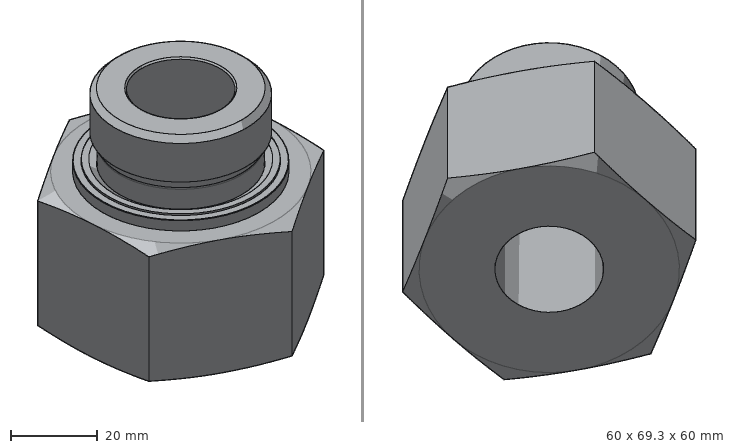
import cadquery as cq
import math

HEX_CORNERS = 69.3
HEX_FLATS = HEX_CORNERS * math.cos(math.radians(30))
HEX_HEIGHT = 36.9
HEX_CHAMFER_ANGLE = 15.0

FLANGE_DIAMETER = 49.9
FLANGE_HEIGHT = 3.0
FLANGE_TOP = HEX_HEIGHT + FLANGE_HEIGHT
FLANGE_CHAMFER = 0.15

TOTAL_HEIGHT = 60.0
SPIGOT_DIAMETER = 41.9
SPIGOT_BOTTOM = 47.8
SPIGOT_CHAMFER = 1.5
NECK_DIAMETER = 38.6
NECK_TOP = 44.7
TAPER_END_DIAMETER = 38.8
TAPER_BOTTOM = 45.25

BORE_DIAMETER = 25.0
BORE_CHAMFER = 0.4

GROOVE_DIAMETER = 46.0
GROOVE_DEPTH = 2.1
GROOVE_FLOOR = FLANGE_TOP - GROOVE_DEPTH
RING_OUTER_DIAMETER = 45.8
RING_INNER_DIAMETER = 38.8
RING_MOUTH_DIAMETER = 42.4
RING_PROTRUSION = 0.4
RING_TOP = FLANGE_TOP + RING_PROTRUSION
RING_MOUTH_DEPTH = 1.05


def revolve_profile(points):
    """Revolve a closed (radius, height) outline about the Z axis."""
    return cq.Workplane("XZ").polyline(points).close().revolve(360, (0, 0, 0), (0, 1, 0))


def make_hexagon():
    """Hexagonal prism with corners on the Y axis, its corners chamfered at both ends."""
    prism = (
        cq.Workplane("XY")
        .polygon(6, HEX_CORNERS)
        .extrude(HEX_HEIGHT)
        .rotate((0, 0, 0), (0, 0, 1), 90)
    )
    flat_radius = HEX_FLATS / 2
    cone_radius = HEX_CORNERS / 2 + 0.7
    cone_drop = (cone_radius - flat_radius) * math.tan(math.radians(HEX_CHAMFER_ANGLE))
    envelope = revolve_profile([
        (0, 0),
        (flat_radius, 0),
        (cone_radius, cone_drop),
        (cone_radius, HEX_HEIGHT - cone_drop),
        (flat_radius, HEX_HEIGHT),
        (0, HEX_HEIGHT),
    ])
    return prism.intersect(envelope)


def make_spigot():
    """Flange with the ring groove, undercut neck and chamfered spigot."""
    flange_radius = FLANGE_DIAMETER / 2
    groove_radius = GROOVE_DIAMETER / 2
    neck_radius = NECK_DIAMETER / 2
    spigot_radius = SPIGOT_DIAMETER / 2
    return revolve_profile([
        (0, HEX_HEIGHT),
        (flange_radius, HEX_HEIGHT),
        (flange_radius, FLANGE_TOP - FLANGE_CHAMFER),
        (flange_radius - FLANGE_CHAMFER, FLANGE_TOP),
        (groove_radius, FLANGE_TOP),
        (groove_radius, GROOVE_FLOOR),
        (neck_radius, GROOVE_FLOOR),
        (neck_radius, NECK_TOP),
        (TAPER_END_DIAMETER / 2, TAPER_BOTTOM),
        (spigot_radius, SPIGOT_BOTTOM),
        (spigot_radius, TOTAL_HEIGHT - SPIGOT_CHAMFER),
        (spigot_radius - SPIGOT_CHAMFER, TOTAL_HEIGHT),
        (0, TOTAL_HEIGHT),
    ])


def make_bore():
    """Cutter for the through bore with its chamfered upper mouth."""
    bore_radius = BORE_DIAMETER / 2
    return revolve_profile([
        (0, 0),
        (bore_radius, 0),
        (bore_radius, TOTAL_HEIGHT - BORE_CHAMFER),
        (bore_radius + BORE_CHAMFER, TOTAL_HEIGHT),
        (0, TOTAL_HEIGHT),
    ])


def make_fitting():
    """Hexagon and spigot in one piece, bored through."""
    return make_hexagon().union(make_spigot()).cut(make_bore())


def make_sealing_ring():
    """Ring on the groove floor, with a conical upper mouth around the neck."""
    outer_radius = RING_OUTER_DIAMETER / 2
    inner_radius = RING_INNER_DIAMETER / 2
    return revolve_profile([
        (inner_radius, GROOVE_FLOOR),
        (outer_radius, GROOVE_FLOOR),
        (outer_radius, RING_TOP),
        (RING_MOUTH_DIAMETER / 2, RING_TOP),
        (inner_radius, RING_TOP - RING_MOUTH_DEPTH),
    ])


fitting = make_fitting()
sealing_ring = make_sealing_ring()

result = cq.Compound.makeCompound([fitting.val(), sealing_ring.val()])